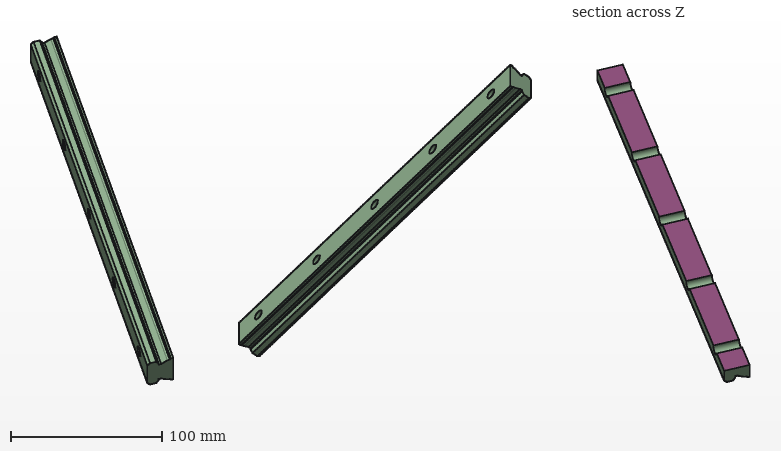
import cadquery as cq

length = 280.0
width = 18.0
height = 23.0

chamfer = 2.0

rear_land = 1.7
step_end = 2.5
ledge_end = 4.2
floor_start = 8.5
floor_end = 10.0
groove_front = 11.8

step_depth = 0.8
ledge_depth = 1.25
floor_depth = 3.5
wall_top_depth = 2.5

hole_diameter = 7.0
hole_count = 5
hole_pitch = 60.0


def upper_edge():
    """(Y, Z) points of the upper half of the section, from back to front."""
    distances_and_depths = [
        (0, 0),
        (rear_land, 0),
        (step_end, step_depth),
        (ledge_end, ledge_depth),
        (floor_start, floor_depth),
        (floor_end, floor_depth),
        (floor_end, wall_top_depth),
        (groove_front, 0),
        (width - chamfer, 0),
        (width, chamfer),
    ]
    return [(width / 2 - distance, height / 2 - depth) for distance, depth in distances_and_depths]


def rail_body():
    """Extrude the section, which is symmetric about the XY plane, along X."""
    upper = upper_edge()
    lower = [(y, -z) for y, z in reversed(upper)]
    return cq.Workplane("YZ").polyline(upper + lower).close().extrude(length / 2, both=True)


def mounting_holes():
    """Row of cylinders through the full width of the rail."""
    return (
        cq.Workplane("XZ")
        .rarray(hole_pitch, 2.8, hole_count, 1)
        .circle(hole_diameter / 2)
        .extrude(width, both=True)
    )


result = rail_body().cut(mounting_holes())